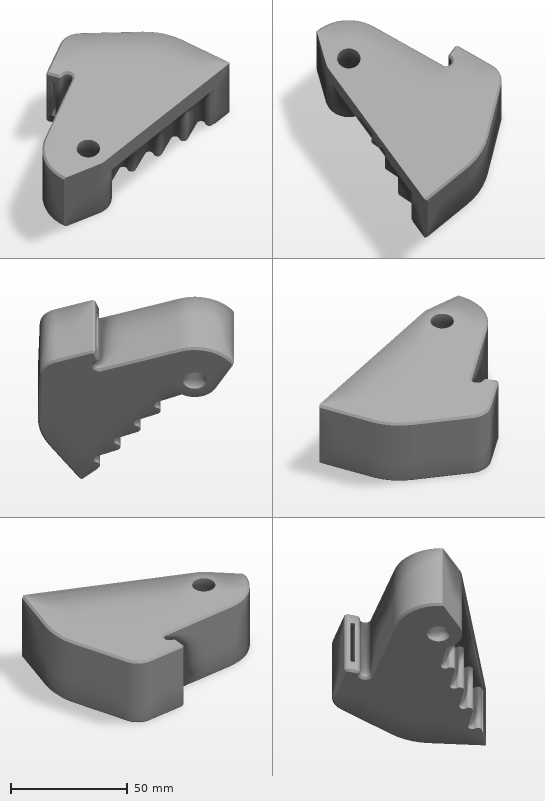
import cadquery as cq
import math

thickness = 32.0
pivot_hole_diameter = 10.0
hub_radius = 10.1
heel_radius = 19.8
edge_chamfer = 0.9

lean = 4.6
hook_side_out = 31.5
hook_end_up = 34.6
notch_radius = 2.3
notch_center_up = 35.6
notch_center_out = heel_radius + notch_radius
notch_wall_out = notch_center_out + notch_radius

tip = (-2.6, -19.7)
shoulder_corner = (-36.0, 56.7)
shoulder_radius = 9.4
crown_corner = (2.25, 75.2)
crown_radius = 30.0
nose_corner = (36.1, 70.1)

slot_out = 27.0
slot_width = 2.0
slot_height = 21.5
slot_depth = 16.0

pocket_height = 23.0
wave_radius = 1.9
wave_count = 4
first_valley = (7.4, 20.4)
valley_to_crest = 2.9
wave_rise = 12.5
wave_pitch = valley_to_crest + 2 * wave_radius
pocket_reach_x = 46.9


def on_hook_side(out, up):
    """Point given by its distances square to and along the leaning side."""
    angle = math.radians(lean)
    return (
        -out * math.cos(angle) - up * math.sin(angle),
        -out * math.sin(angle) + up * math.cos(angle),
    )


def hub_point(angle):
    return (hub_radius * math.cos(angle), hub_radius * math.sin(angle))


def hub_tangent(point, side):
    """Angle on the hub where the line from a point touches it."""
    direction = math.atan2(point[1], point[0])
    return direction + side * math.acos(hub_radius / math.hypot(*point))


def heel_middle():
    """Point halfway along the heel arc, from the tip to the leaning side."""
    start = math.atan2(tip[1], tip[0])
    end = math.radians(lean - 180)
    angle = (start + end) / 2
    return (heel_radius * math.cos(angle), heel_radius * math.sin(angle))


def body():
    nose_angle = hub_tangent(nose_corner, -1)
    tip_angle = hub_tangent(tip, 1)
    blank = (
        cq.Workplane("XY")
        .moveTo(*tip)
        .threePointArc(heel_middle(), on_hook_side(heel_radius, 0))
        .lineTo(*on_hook_side(heel_radius, notch_center_up))
        .threePointArc(
            on_hook_side(notch_center_out, notch_center_up + notch_radius),
            on_hook_side(notch_wall_out, notch_center_up),
        )
        .lineTo(*on_hook_side(notch_wall_out + edge_chamfer, hook_end_up))
        .lineTo(*on_hook_side(hook_side_out - edge_chamfer, hook_end_up))
        .lineTo(*on_hook_side(hook_side_out, hook_end_up + edge_chamfer))
        .lineTo(*shoulder_corner)
        .lineTo(*crown_corner)
        .lineTo(*nose_corner)
        .lineTo(*hub_point(nose_angle))
        .threePointArc(hub_point((nose_angle + tip_angle) / 2), hub_point(tip_angle))
        .close()
        .extrude(thickness)
    )
    blank = round_corner(blank, shoulder_corner, shoulder_radius)
    blank = round_corner(blank, crown_corner, crown_radius)
    blank = chamfer_rims(blank, nose_angle, tip_angle)
    return upright_edge(blank, nose_corner).chamfer(edge_chamfer)


def upright_edge(solid, corner):
    middle = (corner[0], corner[1], thickness / 2)
    return solid.edges(cq.selectors.NearestToPointSelector(middle))


def round_corner(solid, corner, radius):
    return upright_edge(solid, corner).fillet(radius)


def chamfer_rims(solid, nose_angle, tip_angle):
    """Chamfer both rims, leaving the long face, hub and lower cut face sharp."""
    sharp_middles = [
        midpoint(nose_corner, hub_point(nose_angle)),
        hub_point((nose_angle + tip_angle) / 2),
        midpoint(hub_point(tip_angle), tip),
    ]
    rims = solid.faces("|Z").edges()
    for middle in sharp_middles:
        for z in (0, thickness):
            nearest = cq.selectors.NearestToPointSelector((*middle, z))
            sharp_edge = solid.edges(nearest).val()
            rims = rims.filter(lambda edge, kept=sharp_edge: not edge.isSame(kept))
    return rims.chamfer(edge_chamfer)


def midpoint(a, b):
    return ((a[0] + b[0]) / 2, (a[1] + b[1]) / 2)


def hook_slot():
    return (
        cq.Workplane("XY")
        .box(slot_width, slot_depth, slot_height)
        .translate((-slot_out - slot_width / 2, hook_end_up + slot_depth / 2, thickness / 2))
        .rotate((0, 0, 0), (0, 0, 1), lean)
    )


def pocket():
    crest_rise = math.sqrt((2 * wave_radius) ** 2 - valley_to_crest**2)
    touch_angle = math.atan2(crest_rise, valley_to_crest)
    bisector = (math.pi + touch_angle) / 2
    arc_x = wave_radius * math.cos(bisector)
    arc_y = wave_radius * math.sin(bisector)

    pocket_floor_y = hub_point(hub_tangent(nose_corner, -1))[1]
    outline = cq.Workplane("XY").moveTo(first_valley[0] - wave_radius, pocket_floor_y)
    for i in range(wave_count):
        valley_x = first_valley[0] + i * wave_pitch
        valley_y = first_valley[1] + i * wave_rise
        crest_x = valley_x + valley_to_crest
        crest_y = valley_y + crest_rise
        outline = (
            outline.lineTo(valley_x - wave_radius, valley_y)
            .threePointArc(
                (valley_x + arc_x, valley_y + arc_y),
                midpoint((valley_x, valley_y), (crest_x, crest_y)),
            )
            .threePointArc((crest_x - arc_x, crest_y - arc_y), (crest_x + wave_radius, crest_y))
        )
    hollow = (
        outline.lineTo(pocket_reach_x, crest_y)
        .lineTo(pocket_reach_x, pocket_floor_y)
        .close()
        .extrude(pocket_height)
    )
    hub = cq.Workplane("XY").circle(hub_radius).extrude(pocket_height)
    return hollow.cut(hub)


pivot_hole = cq.Workplane("XY").circle(pivot_hole_diameter / 2).extrude(thickness)

result = body().cut(hook_slot()).cut(pocket()).cut(pivot_hole)